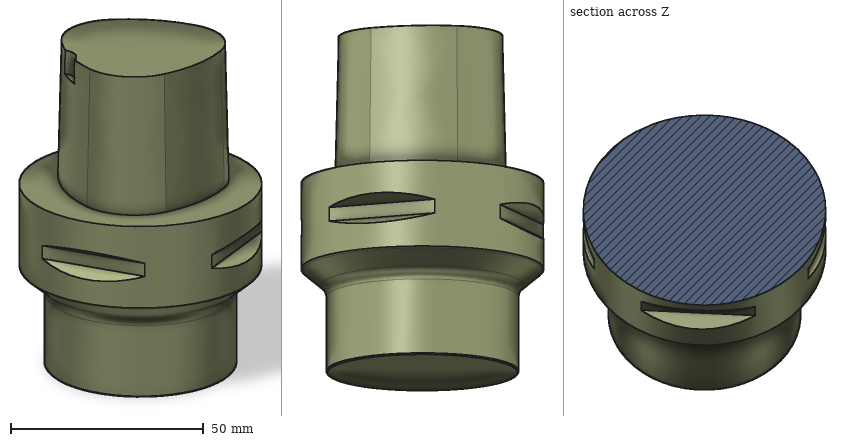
import cadquery as cq
import math

total_height = 88.0
flange_top = 50.0
barrel_top = 20.0

flange_radius = 63.0 / 2
barrel_radius = 50.0 / 2
neck_fillet = 4.0
cone_angle = math.radians(50)
edge_break = 0.35

lobe_offset = 7.9
lobe_radius = 15.5
side_distance = 20.5
shank_taper = math.degrees(math.atan(1 / 40))

notch_radius = 5.5
notch_inner = 17.95
notch_depth = 6.5

groove_count = 4
groove_floor_distance = 27.8
groove_floor_height = 3.6
groove_center_z = 37.9
groove_wall_angle = math.radians(30)
tool_margin = 1.8


def polar(radius, degrees):
    angle = math.radians(degrees)
    return radius * math.cos(angle), radius * math.sin(angle)


def make_body():
    """Revolve the barrel, filleted neck, cone and flange."""
    neck_center = barrel_radius + neck_fillet
    fillet_mid = (
        neck_center - neck_fillet * math.cos(cone_angle / 2),
        barrel_top + neck_fillet * math.sin(cone_angle / 2),
    )
    cone_start = (
        neck_center - neck_fillet * math.cos(cone_angle),
        barrel_top + neck_fillet * math.sin(cone_angle),
    )
    cone_end_radius = flange_radius - edge_break
    cone_end_z = cone_start[1] + (cone_end_radius - cone_start[0]) / math.tan(cone_angle)
    return (
        cq.Workplane("XZ")
        .lineTo(barrel_radius - edge_break, 0)
        .lineTo(barrel_radius, edge_break)
        .lineTo(barrel_radius, barrel_top)
        .threePointArc(fillet_mid, cone_start)
        .lineTo(cone_end_radius, cone_end_z)
        .lineTo(flange_radius, cone_end_z + edge_break)
        .lineTo(flange_radius, flange_top)
        .lineTo(0, flange_top)
        .close()
        .revolve(360, (0, 0, 0), (0, 1, 0))
    )


def make_shank():
    """Extrude three corner arcs joined tangentially by three flatter side arcs."""
    reach = side_distance - lobe_radius
    side_offset = (lobe_offset**2 - reach**2) / (2 * reach - lobe_offset)
    side_radius = side_offset + side_distance

    across = lobe_offset * math.sin(math.radians(60))
    along = lobe_offset * math.cos(math.radians(60)) + side_offset
    joint_direction = math.atan2(across, along)
    joint_x = side_radius * math.cos(joint_direction) - side_offset
    joint_y = side_radius * math.sin(joint_direction)
    joint_distance = math.hypot(joint_x, joint_y)
    joint_angle = 60 - math.degrees(math.atan2(joint_y, joint_x))

    outline = cq.Workplane("XY", origin=(0, 0, flange_top))
    outline = outline.moveTo(*polar(joint_distance, 90 - joint_angle))
    for corner in (90, 210, 330):
        outline = outline.threePointArc(
            polar(lobe_offset + lobe_radius, corner),
            polar(joint_distance, corner + joint_angle),
        )
        outline = outline.threePointArc(
            polar(side_distance, corner + 60),
            polar(joint_distance, corner + 120 - joint_angle),
        )
    return outline.close().extrude(total_height - flange_top, taper=shank_taper)


def make_notch():
    """Vertical round cutter that opens through the top and front of the shank."""
    return (
        cq.Workplane("XY", origin=(0, 0, total_height - notch_depth))
        .center(0, -notch_inner - notch_radius)
        .circle(notch_radius)
        .extrude(notch_depth)
    )


def make_groove(angle):
    """Straight trapezoidal cutter across the flange, facing the given direction."""
    outer = flange_radius + tool_margin
    floor_half = groove_floor_height / 2
    mouth_half = floor_half + (outer - groove_floor_distance) * math.tan(groove_wall_angle)
    return (
        cq.Workplane("XZ", origin=(0, 0, groove_center_z))
        .moveTo(groove_floor_distance, -floor_half)
        .lineTo(outer, -mouth_half)
        .lineTo(outer, mouth_half)
        .lineTo(groove_floor_distance, floor_half)
        .close()
        .extrude(flange_radius, both=True)
        .rotate((0, 0, 0), (0, 0, 1), angle)
    )


result = make_body().union(make_shank()).cut(make_notch())
groove_spacing = 360 / groove_count
for index in range(groove_count):
    result = result.cut(make_groove((index + 0.5) * groove_spacing))